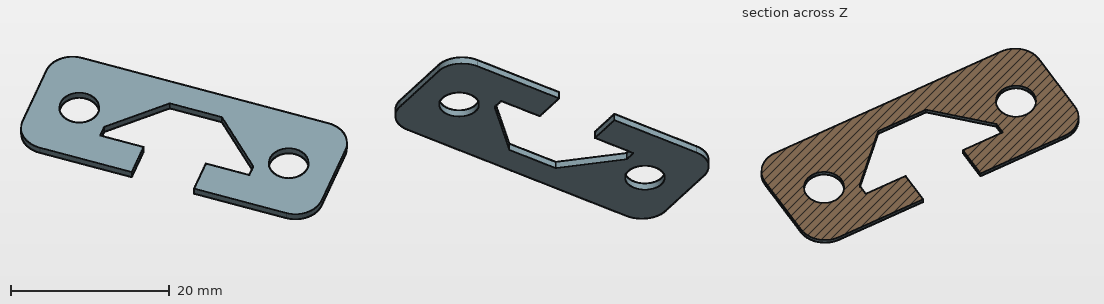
import cadquery as cq

length = 40.0
width = 16.0
thickness = 1.0
corner_radius = 3.5

hole_diameter = 5.0
hole_spacing = 28.0

mouth_width = 8.3
lip_height = 4.5
pocket_width = 19.9
pocket_height = 8.0
pocket_chamfer = 6.5


def make_plate():
    """Flat plate with rounded corners, resting on Z = 0."""
    plate = cq.Workplane("XY").box(length, width, thickness, centered=(True, True, False))
    return plate.edges("|Z").fillet(corner_radius)


def make_opening():
    """Pocket with its upper corners cut at 45 degrees, open to the front edge."""
    front = -width / 2
    pocket_bottom = front + lip_height
    pocket = (
        cq.Workplane("XY")
        .center(0, pocket_bottom + pocket_height / 2)
        .rect(pocket_width, pocket_height)
        .extrude(thickness)
        .edges("|Z and >Y")
        .chamfer(pocket_chamfer)
    )
    mouth = (
        cq.Workplane("XY")
        .center(0, front + lip_height / 2)
        .rect(mouth_width, lip_height)
        .extrude(thickness)
    )
    return pocket.union(mouth)


def make_holes():
    """Pair of through holes, one on each side of the opening."""
    return (
        cq.Workplane("XY")
        .pushPoints([(-hole_spacing / 2, 0), (hole_spacing / 2, 0)])
        .circle(hole_diameter / 2)
        .extrude(thickness)
    )


result = make_plate().cut(make_opening()).cut(make_holes())